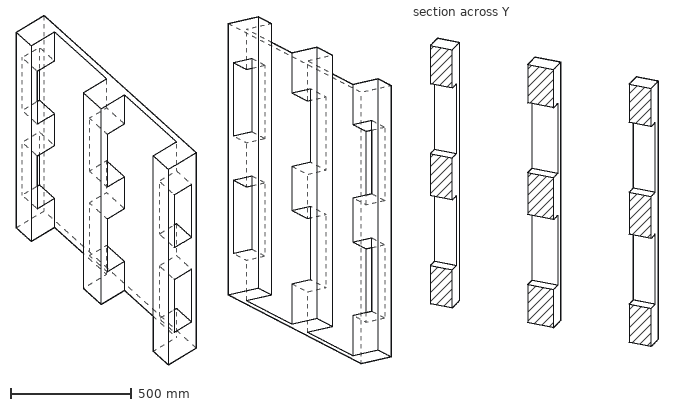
import cadquery as cq

width = 1000.0
depth = 150.0
height = 1200.0

deck_thickness = 25.0
side_runner_width = 100.0
middle_runner_width = 118.0

opening_height = 324.0
opening_spacing = 520.0
bottom_board_thickness = 32.0

deck_front = depth / 2 - deck_thickness
runner_depth = depth - deck_thickness
opening_depth = runner_depth - bottom_board_thickness
side_runner_offset = (width - side_runner_width) / 2


def make_runner(center_x, runner_width):
    """Full-height runner standing forward of the deck."""
    center_y = deck_front - runner_depth / 2
    return cq.Workplane("XY").box(runner_width, runner_depth, height).translate((center_x, center_y, 0))


def make_fork_opening(center_z):
    """Cutter running across all runners, flush with the deck face."""
    center_y = deck_front - opening_depth / 2
    return cq.Workplane("XY").box(width, opening_depth, opening_height).translate((0, center_y, center_z))


deck = cq.Workplane("XY").box(width, deck_thickness, height)
result = deck.translate((0, deck_front + deck_thickness / 2, 0))

for side in (-1, 1):
    result = result.union(make_runner(side * side_runner_offset, side_runner_width))
result = result.union(make_runner(0, middle_runner_width))

for side in (-1, 1):
    result = result.cut(make_fork_opening(side * opening_spacing / 2))